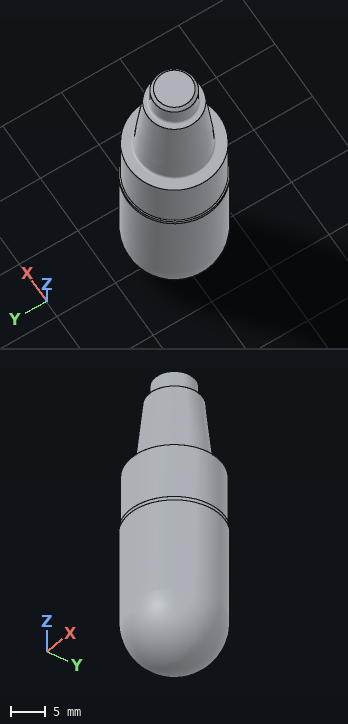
import cadquery as cq
import math

TOTAL_HEIGHT = 51.1
BODY_RADIUS = 16.0 / 2

JOINT_Z = 23.95

FLANGE_THICKNESS = 0.6
COLLAR_RADIUS = 15.5 / 2
COLLAR_TOP_Z = 34.15
NECK_BASE_RADIUS = 5.75
NECK_BASE_FILLET = 0.4
NECK_TAPER_Z = 36.9
NECK_TAPER_RADIUS = 5.6
NECK_TOP_Z = 47.15
NECK_TOP_RADIUS = 4.55
TIP_RADIUS = 7.0 / 2
TIP_FILLET = 0.45
TIP_CHAMFER = 0.5

FLANGE_TOP_Z = JOINT_Z + FLANGE_THICKNESS
ARC_MID = math.sqrt(0.5)


def concave_fillet(profile, wall_radius, floor_z, size):
    """Continue the profile from the floor up to the wall with a quarter arc."""
    middle_offset = size * (1 - ARC_MID)
    return (
        profile.lineTo(wall_radius + size, floor_z)
        .threePointArc(
            (wall_radius + middle_offset, floor_z + middle_offset),
            (wall_radius, floor_z + size),
        )
    )


def revolve_about_z(profile):
    """Close a half profile drawn in XZ and turn it about the Z axis."""
    return profile.close().revolve(360, (0, 0, 0), (0, 1, 0))


def make_capsule():
    """Lower body: round-ended cylinder with a flat top at the joint."""
    profile = (
        cq.Workplane("XZ")
        .moveTo(0, 0)
        .threePointArc(
            (BODY_RADIUS * ARC_MID, BODY_RADIUS * (1 - ARC_MID)),
            (BODY_RADIUS, BODY_RADIUS),
        )
        .lineTo(BODY_RADIUS, JOINT_Z)
        .lineTo(0, JOINT_Z)
    )
    return revolve_about_z(profile)


def make_stem():
    """Upper body: flange, collar, tapered neck and chamfered tip."""
    profile = (
        cq.Workplane("XZ")
        .moveTo(0, JOINT_Z)
        .lineTo(BODY_RADIUS, JOINT_Z)
        .lineTo(BODY_RADIUS, FLANGE_TOP_Z)
        .lineTo(COLLAR_RADIUS, FLANGE_TOP_Z)
        .lineTo(COLLAR_RADIUS, COLLAR_TOP_Z)
    )
    profile = concave_fillet(profile, NECK_BASE_RADIUS, COLLAR_TOP_Z, NECK_BASE_FILLET)
    profile = (
        profile.lineTo(NECK_TAPER_RADIUS, NECK_TAPER_Z)
        .lineTo(NECK_TOP_RADIUS, NECK_TOP_Z)
    )
    profile = concave_fillet(profile, TIP_RADIUS, NECK_TOP_Z, TIP_FILLET)
    profile = (
        profile.lineTo(TIP_RADIUS, TOTAL_HEIGHT - TIP_CHAMFER)
        .lineTo(TIP_RADIUS - TIP_CHAMFER, TOTAL_HEIGHT)
        .lineTo(0, TOTAL_HEIGHT)
    )
    return revolve_about_z(profile)


capsule = make_capsule()
stem = make_stem()

result = cq.Compound.makeCompound([capsule.val(), stem.val()])